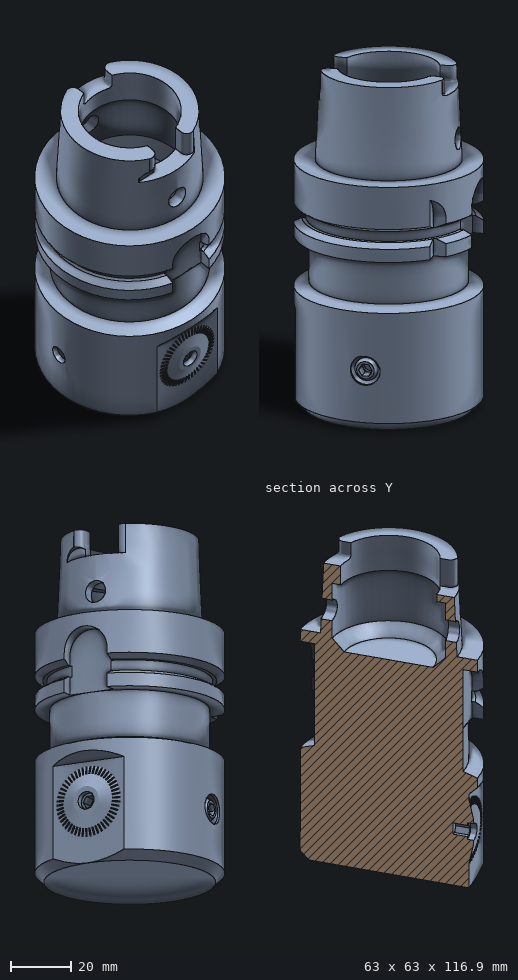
import cadquery as cq
import math

TOTAL_HEIGHT = 116.9
OUTER_DIA = 63.0
OUTER_R = OUTER_DIA / 2
BEYOND = 11.7

FOOT_CHAMFER = 3.0
HEAD_TOP = 41.3
SHOULDER_TOP = 42.9
NECK_R = 53.0 / 2

FLANGE_BOTTOM = 58.9
FLANGE_TOP = 85.0
GROOVE_R = 27.5
GROOVE_BOTTOM = 65.0
GROOVE_TOP = 68.9
GROOVE_CHAMFER_HEIGHT = 1.5
GROOVE_CHAMFER_DEPTH = 2.7

TAPER_BASE_R = 24.3
TAPER_TOP_R = 22.9
BORE_R = 34.0 / 2
LAND_DEPTH = 13.0
UNDERCUT_R = 40.1 / 2
BORE_FLOOR_R = 15.8
BORE_FLOOR = 79.5
CROSS_HOLE_DIA = 7.5
CROSS_HOLE_Z = 94.0

SLOT_HALF_WIDTH = 6.2
SLOT_EDGE_R = 2.5
SLOT_FLOOR_FILLET = 1.2
SHALLOW_SLOT_FLOOR = 111.0
DEEP_SLOT_FLOOR = 106.7
RELIEF_R = 4.3
RELIEF_Y = 8.8
RELIEF_START_X = 19.0

NOTCH_R = 8.1
NOTCH_ARCH_Z = 72.4
DRIVE_NOTCH_X = NECK_R
INDEX_NOTCH_X = 20.3
INDEX_NOTCH_Y = 27.7

FLAT_X = 28.5
FLAT_TOP = 34.7
FEATURE_Z = 21.0
DIAL_R = 11.9
DIAL_FACE_R = 9.5 / 2
DIAL_HEIGHT = 1.6
DIAL_RECESS_DIA = 6.0
DIAL_RECESS_X = 27.9
HEX_FLATS = 4.0
DIAL_HEX_X = 22.9
GRADUATIONS = 50
GRADUATION_INNER_R = 9.4
GRADUATION_WIDTH = 0.4
GRADUATION_DEPTH = 0.2

SCREW_RECESS_R = 10.0 / 2
SCREW_RECESS_FLOOR_R = 8.0 / 2
SCREW_FACE_R = 6.0 / 2
SCREW_FACE_Y = 30.9
SCREW_CHAMFER_Y = 30.4
SCREW_RECESS_Y = 29.3
SCREW_HEX_Y = 26.4
SCREW_BORE_Y = 24.5
SCREW_TIP_Y = 23.5

BLIND_DIA = 6.2
BLIND_Y = 29.3


def revolved(profile):
    """Solid of revolution about Z from (radius, height) points."""
    return cq.Workplane("XZ").polyline(profile).close().revolve(360, (0, 0, 0), (0, 1, 0))


def make_body():
    chamfer_r = OUTER_R - GROOVE_CHAMFER_DEPTH
    return revolved([
        (0, 0),
        (OUTER_R - FOOT_CHAMFER, 0),
        (OUTER_R, FOOT_CHAMFER),
        (OUTER_R, HEAD_TOP),
        (NECK_R, SHOULDER_TOP),
        (NECK_R, FLANGE_BOTTOM),
        (OUTER_R, FLANGE_BOTTOM),
        (OUTER_R, GROOVE_BOTTOM - GROOVE_CHAMFER_HEIGHT),
        (chamfer_r, GROOVE_BOTTOM),
        (GROOVE_R, GROOVE_BOTTOM),
        (GROOVE_R, GROOVE_TOP),
        (chamfer_r, GROOVE_TOP),
        (OUTER_R, GROOVE_TOP + GROOVE_CHAMFER_HEIGHT),
        (OUTER_R, FLANGE_TOP),
        (TAPER_BASE_R, FLANGE_TOP),
        (TAPER_TOP_R, TOTAL_HEIGHT),
        (0, TOTAL_HEIGHT),
    ])


def make_bore():
    land_end = TOTAL_HEIGHT - LAND_DEPTH
    floor_cone_top = BORE_FLOOR + UNDERCUT_R - BORE_FLOOR_R
    return revolved([
        (0, BORE_FLOOR),
        (BORE_FLOOR_R, BORE_FLOOR),
        (UNDERCUT_R, floor_cone_top),
        (UNDERCUT_R, land_end),
        (BORE_R, land_end),
        (BORE_R, TOTAL_HEIGHT + BEYOND),
        (0, TOTAL_HEIGHT + BEYOND),
    ])


def make_slot(floor_z, floor_fillet):
    """Drive slot toward +X whose walls round over into the outside of the taper."""
    center_y = SLOT_HALF_WIDTH + SLOT_EDGE_R
    center_dist = TAPER_TOP_R - SLOT_EDGE_R
    center_x = math.sqrt(center_dist**2 - center_y**2)
    to_outside = math.atan2(center_y, center_x)
    middle = (to_outside - math.pi / 2) / 2
    arc_mid = (center_x + SLOT_EDGE_R * math.cos(middle), center_y + SLOT_EDGE_R * math.sin(middle))
    arc_end = (TAPER_TOP_R * math.cos(to_outside), TAPER_TOP_R * math.sin(to_outside))
    far_r = TAPER_TOP_R + BEYOND
    far = (far_r * math.cos(to_outside), far_r * math.sin(to_outside))
    slot = (
        cq.Workplane("XY", origin=(0, 0, floor_z))
        .moveTo(0, -SLOT_HALF_WIDTH)
        .lineTo(center_x, -SLOT_HALF_WIDTH)
        .threePointArc((arc_mid[0], -arc_mid[1]), (arc_end[0], -arc_end[1]))
        .lineTo(far[0], -far[1])
        .lineTo(*far)
        .lineTo(*arc_end)
        .threePointArc(arc_mid, (center_x, SLOT_HALF_WIDTH))
        .lineTo(0, SLOT_HALF_WIDTH)
        .close()
        .extrude(TOTAL_HEIGHT - floor_z + BEYOND)
    )
    if floor_fillet > 0:
        slot = slot.faces("<Z").edges().fillet(floor_fillet)
    return slot


def make_slot_relief():
    """Half-round pocket in the -Y tooth flank, standing on the deep slot floor."""
    return (
        cq.Workplane("YZ", origin=(RELIEF_START_X, -RELIEF_Y, DEEP_SLOT_FLOOR))
        .moveTo(-RELIEF_R, 0)
        .threePointArc((0, RELIEF_R), (RELIEF_R, 0))
        .close()
        .extrude(BEYOND)
    )


def make_notch(floor_x, center_y):
    """Flange notch open downward and toward +X, with a half-round top."""
    return (
        cq.Workplane("YZ", origin=(floor_x, 0, 0))
        .moveTo(center_y - NOTCH_R, FLANGE_BOTTOM)
        .lineTo(center_y - NOTCH_R, NOTCH_ARCH_Z)
        .threePointArc((center_y, NOTCH_ARCH_Z + NOTCH_R), (center_y + NOTCH_R, NOTCH_ARCH_Z))
        .lineTo(center_y + NOTCH_R, FLANGE_BOTTOM)
        .close()
        .extrude(OUTER_R - floor_x + BEYOND)
    )


def turned_half(tool):
    return tool.rotate((0, 0, 0), (0, 0, 1), 180)


def make_flat():
    """Cut for the flat, with a 45 degree run-out at its upper end."""
    return (
        cq.Workplane("XZ")
        .polyline([
            (FLAT_X, -BEYOND),
            (FLAT_X, FLAT_TOP),
            (FLAT_X + BEYOND, FLAT_TOP + BEYOND),
            (FLAT_X + BEYOND, -BEYOND),
        ])
        .close()
        .extrude(OUTER_R, both=True)
    )


def hex_socket(plane, depth):
    """Hexagonal prism for a socket, extruded by depth along the plane normal."""
    corners_dia = HEX_FLATS / math.cos(math.pi / 6)
    return plane.polygon(6, corners_dia).extrude(depth)


def make_dial():
    """Cone standing on the flat, with a flat face around its middle."""
    face_x = FLAT_X + DIAL_HEIGHT
    return (
        cq.Workplane("XY")
        .polyline([(FLAT_X, 0), (FLAT_X, DIAL_R), (face_x, DIAL_FACE_R), (face_x, 0)])
        .close()
        .revolve(360, (0, 0, 0), (1, 0, 0))
        .translate((0, 0, FEATURE_Z))
    )


def make_graduations():
    """Radial grooves of constant depth around the rim of the dial cone."""
    slope = DIAL_HEIGHT / (DIAL_R - DIAL_FACE_R)
    outer_x = FLAT_X - GRADUATION_DEPTH
    inner_x = outer_x + slope * (DIAL_R - GRADUATION_INNER_R)
    groove = (
        cq.Workplane("XY")
        .polyline([
            (outer_x, DIAL_R),
            (inner_x, GRADUATION_INNER_R),
            (OUTER_R, GRADUATION_INNER_R),
            (OUTER_R, DIAL_R),
        ])
        .close()
        .extrude(GRADUATION_WIDTH / 2, both=True)
    )
    grooves = cq.Workplane("XY")
    for index in range(GRADUATIONS):
        angle = 360 / GRADUATIONS * index
        grooves = grooves.add(groove.rotate((0, 0, 0), (1, 0, 0), angle))
    return grooves.combine().translate((0, 0, FEATURE_Z))


def make_dial_socket():
    recess = (
        cq.Workplane("YZ", origin=(DIAL_RECESS_X, 0, FEATURE_Z))
        .circle(DIAL_RECESS_DIA / 2)
        .extrude(BEYOND)
    )
    socket = hex_socket(
        cq.Workplane("YZ", origin=(DIAL_HEX_X, 0, FEATURE_Z)), DIAL_RECESS_X - DIAL_HEX_X)
    return recess.union(socket)


def make_screw_recess():
    """Chamfered ring recess around a screw face with a hexagon socket and drilled end."""
    bore_r = HEX_FLATS / 2
    ring = (
        cq.Workplane("XY")
        .polyline([
            (0, SCREW_FACE_Y),
            (SCREW_FACE_R, SCREW_FACE_Y),
            (SCREW_RECESS_FLOOR_R, SCREW_RECESS_Y),
            (SCREW_RECESS_R, SCREW_CHAMFER_Y),
            (SCREW_RECESS_R, OUTER_R + BEYOND),
            (0, OUTER_R + BEYOND),
        ])
        .close()
        .revolve(360, (0, 0, 0), (0, 1, 0))
    )
    drilled_end = (
        cq.Workplane("XY")
        .polyline([(0, SCREW_TIP_Y), (bore_r, SCREW_BORE_Y), (bore_r, SCREW_HEX_Y), (0, SCREW_HEX_Y)])
        .close()
        .revolve(360, (0, 0, 0), (0, 1, 0))
    )
    socket = hex_socket(
        cq.Workplane("XZ", origin=(0, SCREW_FACE_Y, 0)), SCREW_FACE_Y - SCREW_HEX_Y)
    return ring.union(socket).union(drilled_end).translate((0, 0, FEATURE_Z))


def make_blind_recess():
    return (
        cq.Workplane("XZ", origin=(0, -BLIND_Y, FEATURE_Z))
        .circle(BLIND_DIA / 2)
        .extrude(BEYOND)
    )


def make_cross_hole():
    return (
        cq.Workplane("YZ", origin=(0, 0, CROSS_HOLE_Z))
        .circle(CROSS_HOLE_DIA / 2)
        .extrude(OUTER_R, both=True)
    )


body = make_body()

body = body.cut(make_bore())
body = body.cut(make_cross_hole())
body = body.cut(turned_half(make_slot(SHALLOW_SLOT_FLOOR, SLOT_FLOOR_FILLET)))
body = body.cut(make_slot(DEEP_SLOT_FLOOR, 0))
body = body.cut(make_slot_relief())

drive_notch = make_notch(DRIVE_NOTCH_X, 0)
body = body.cut(drive_notch)
body = body.cut(turned_half(drive_notch))
body = body.cut(turned_half(make_notch(INDEX_NOTCH_X, -INDEX_NOTCH_Y)))

body = body.cut(make_flat())
body = body.union(make_dial().cut(make_graduations()))
body = body.cut(make_dial_socket())
body = body.cut(make_screw_recess())
body = body.cut(make_blind_recess())

result = body